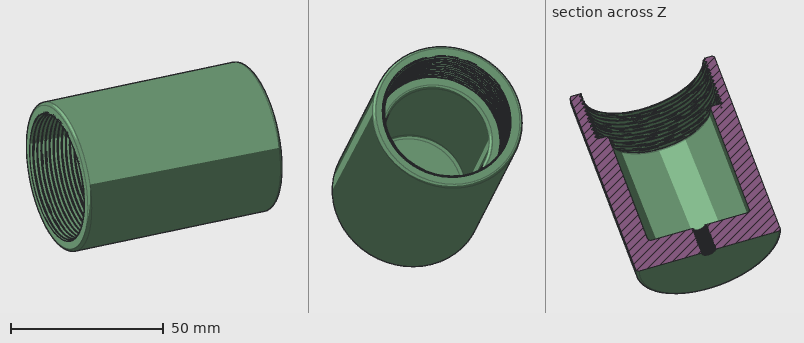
import cadquery as cq
import math

length = 69.95
outer_diameter = 50.0
outer_radius = outer_diameter / 2
edge_round = 1.0

socket_radius = 21.0
socket_depth = 18.0
socket_pitch = 1.5
socket_thread_depth = 0.9
socket_thread_angle = 225.0

bore_radius = 17.5
floor_thickness = 10.0

hole_radius = 2.0
hole_pitch = 0.8
hole_thread_depth = 0.55
hole_thread_angle = 30.0

groove_share = 0.85

flank_spans = 12

shoulder_height = length - socket_depth


def round_bar(radius, bottom, top):
    """Solid cylinder on the Z axis between two heights."""
    return cq.Workplane("XY").workplane(offset=bottom).circle(radius).extrude(top - bottom)


def threaded_bar(minor_radius, depth, pitch, bottom, top, top_angle):
    """Right-handed screw on the Z axis, made by twisting its cross-section.

    Across the axis, a V thread is a circle of the minor radius whose radius
    swells linearly up to one crest, so one full twist advances it one pitch.
    """
    half_swell = math.pi * groove_share

    def flank_point(turn):
        radius = minor_radius + depth * (1 - abs(turn))
        angle = turn * half_swell
        return (radius * math.cos(angle), radius * math.sin(angle))

    section = (
        cq.Workplane("XY")
        .parametricCurve(lambda t: flank_point(t - 1), N=flank_spans, makeWire=False)
        .parametricCurve(flank_point, N=flank_spans, makeWire=False)
        .moveTo(*flank_point(1))
        .threePointArc((-minor_radius, 0), flank_point(-1))
        .wire()
    )
    twist = 360 * (top - bottom) / pitch
    screw = section.twistExtrude(top - bottom, twist)
    return screw.rotate((0, 0, 0), (0, 0, 1), top_angle - twist).translate((0, 0, bottom))


body = round_bar(outer_radius, 0, length).edges().fillet(edge_round)

bore = round_bar(bore_radius, floor_thickness, shoulder_height).faces("<Z").edges().fillet(edge_round)
body = body.cut(bore)

lip = (
    cq.Workplane("XZ")
    .moveTo(0, shoulder_height)
    .lineTo(bore_radius + edge_round, shoulder_height)
    .radiusArc((bore_radius, shoulder_height - edge_round), -edge_round)
    .lineTo(0, shoulder_height - edge_round)
    .close()
    .revolve(360, (0, 0, 0), (0, 1, 0))
)
body = body.cut(lip)

body = body.cut(threaded_bar(
    socket_radius, socket_thread_depth, socket_pitch,
    shoulder_height, length, socket_thread_angle,
))

body = body.cut(threaded_bar(
    hole_radius, hole_thread_depth, hole_pitch,
    0, floor_thickness, hole_thread_angle,
))

result = body.translate((0, 0, -length / 2)).rotate((0, 0, 0), (1, 0, 0), 90)